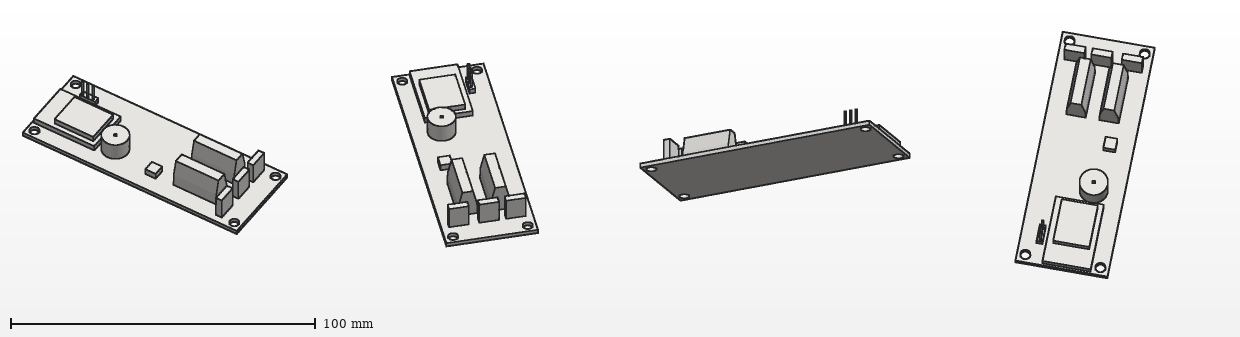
import cadquery as cq

BOARD_LENGTH = 83.4
BOARD_WIDTH = 30.8
BOARD_THICKNESS = 1.5
MOUNT_HOLE_DIAMETER = 3.3
MOUNT_HOLE_INSET_X = 2.75
MOUNT_HOLE_INSET_Y = 2.8

CARRIER_CORNER = (0.7, 5.75)
CARRIER_SIZE = (23.5, 16.1, 2.0)
SCREEN_CORNER = (7.6, 7.5)
SCREEN_SIZE = (15.1, 12.1, 2.0)

HEADER_CORNER = (7.4, 23.1)
HEADER_SIZE = (6.0, 2.0, 1.8)
PIN_DIAMETER = 0.7
PIN_HEIGHT = 8.0
PIN_COUNT = 3
PIN_PITCH = 2.0
FIRST_PIN_OFFSET = (0.7, 0.8)

BUZZER_CENTER = (29.6, 10.2)
BUZZER_DIAMETER = 9.35
BUZZER_HEIGHT = 6.5
SOUND_HOLE_DIAMETER = 1.0

CHIP_CORNER = (44.1, 5.75)
CHIP_SIZE = (4.0, 4.0, 2.25)

TERMINAL_START_X = 54.6
TERMINAL_SECTION_LENGTHS = (10.6, 6.0)
TERMINAL_CENTERS_Y = (9.85, 20.9)
TERMINAL_BASE_WIDTH = 6.6
TERMINAL_SHOULDER_WIDTH = 6.2
TERMINAL_TOP_WIDTH = 3.6
TERMINAL_HEIGHT = 9.9
TERMINAL_SHOULDER_HEIGHT = 4.5

TAB_START_X = 73.8
TAB_STARTS_Y = (2.5, 12.7, 21.7)
TAB_SIZE = (2.25, 6.7, 8.0)


def block(corner, size, base_z=BOARD_THICKNESS):
    """Box with its lowest corner at the given XY position and height."""
    return cq.Workplane("XY").box(*size, centered=False).translate((*corner, base_z))


def make_board():
    board = block((0, 0), (BOARD_LENGTH, BOARD_WIDTH, BOARD_THICKNESS), base_z=0)
    hole_centers = [
        (x, y)
        for x in (MOUNT_HOLE_INSET_X, BOARD_LENGTH - MOUNT_HOLE_INSET_X)
        for y in (MOUNT_HOLE_INSET_Y, BOARD_WIDTH - MOUNT_HOLE_INSET_Y)
    ]
    holes = (
        cq.Workplane("XY")
        .pushPoints(hole_centers)
        .circle(MOUNT_HOLE_DIAMETER / 2)
        .extrude(BOARD_THICKNESS)
    )
    return board.cut(holes)


def make_display():
    carrier = block(CARRIER_CORNER, CARRIER_SIZE)
    screen = block(SCREEN_CORNER, SCREEN_SIZE, BOARD_THICKNESS + CARRIER_SIZE[2])
    return carrier.union(screen)


def make_header():
    pin_y = HEADER_CORNER[1] + FIRST_PIN_OFFSET[1]
    first_pin_x = HEADER_CORNER[0] + FIRST_PIN_OFFSET[0]
    pin_centers = [(first_pin_x + i * PIN_PITCH, pin_y) for i in range(PIN_COUNT)]
    pins = (
        cq.Workplane("XY", origin=(0, 0, BOARD_THICKNESS))
        .pushPoints(pin_centers)
        .circle(PIN_DIAMETER / 2)
        .extrude(PIN_HEIGHT)
    )
    return block(HEADER_CORNER, HEADER_SIZE).union(pins)


def make_buzzer():
    return (
        cq.Workplane("XY", origin=(*BUZZER_CENTER, BOARD_THICKNESS))
        .circle(BUZZER_DIAMETER / 2)
        .circle(SOUND_HOLE_DIAMETER / 2)
        .extrude(BUZZER_HEIGHT)
    )


def make_terminal_section(start_x, center_y, length):
    """Tapered profile in the YZ plane, extruded along +X."""
    base = TERMINAL_BASE_WIDTH / 2
    shoulder = TERMINAL_SHOULDER_WIDTH / 2
    top = TERMINAL_TOP_WIDTH / 2
    return (
        cq.Workplane("YZ", origin=(start_x, center_y, BOARD_THICKNESS))
        .polyline([
            (-base, 0),
            (base, 0),
            (shoulder, TERMINAL_SHOULDER_HEIGHT),
            (top, TERMINAL_HEIGHT),
            (-top, TERMINAL_HEIGHT),
            (-shoulder, TERMINAL_SHOULDER_HEIGHT),
        ])
        .close()
        .extrude(length)
    )


result = make_board()
for component in (make_display(), make_header(), make_buzzer(), block(CHIP_CORNER, CHIP_SIZE)):
    result = result.union(component)

for tab_y in TAB_STARTS_Y:
    result = result.union(block((TAB_START_X, tab_y), TAB_SIZE))

for terminal_y in TERMINAL_CENTERS_Y:
    section_x = TERMINAL_START_X
    for section_length in TERMINAL_SECTION_LENGTHS:
        section = make_terminal_section(section_x, terminal_y, section_length)
        result = result.union(section, clean=False)
        section_x += section_length